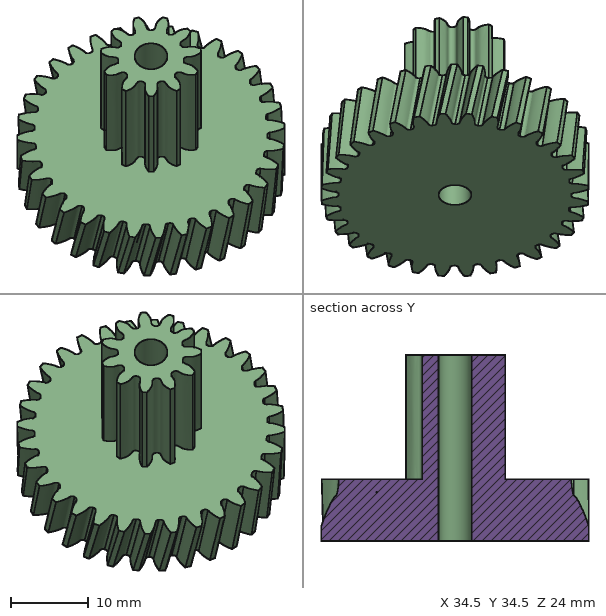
import cadquery as cq
import math

OUTER_DIAMETER = 34.5
TOTAL_HEIGHT = 24.0
WHEEL_HEIGHT = 8.0
BORE_DIAMETER = 4.2

WHEEL_TEETH = 32
PINION_TEETH = 11
PRESSURE_ANGLE = math.radians(20)
HELIX_ANGLE = math.radians(10)
DEDENDUM_FACTOR = 1.25
FLANK_STEPS = 5

MODULE = OUTER_DIAMETER / (WHEEL_TEETH / math.cos(HELIX_ANGLE) + 2)

WHEEL_PITCH_RADIUS = OUTER_DIAMETER / 2 - MODULE
WHEEL_PRESSURE_ANGLE = math.atan(math.tan(PRESSURE_ANGLE) / math.cos(HELIX_ANGLE))
WHEEL_TWIST = math.degrees(WHEEL_HEIGHT * math.tan(HELIX_ANGLE) / WHEEL_PITCH_RADIUS)
WHEEL_FLANK_START_RADIUS = 15.3
WHEEL_ROOT_LAND = 0.15

PINION_PITCH_RADIUS = PINION_TEETH * MODULE / 2
PINION_FLANK_START_RADIUS = PINION_PITCH_RADIUS * math.cos(PRESSURE_ANGLE)
PINION_ROOT_LAND = 0.1
UNDERCUT_RADIUS = 4.73
UNDERCUT_HALF_GAP = 0.55


def polar(radius, angle):
    return (radius * math.cos(angle), radius * math.sin(angle))


def involute(angle):
    return math.tan(angle) - angle


def involute_flank(teeth, pitch_radius, start_radius, pressure_angle):
    """Pairs of radius and half tooth angle along one flank, from the start up to the tip."""
    base_radius = pitch_radius * math.cos(pressure_angle)
    base_half_angle = math.pi / (2 * teeth) + involute(pressure_angle)
    tip_radius = pitch_radius + MODULE
    flank = []
    for step in range(FLANK_STEPS + 1):
        radius = start_radius + (tip_radius - start_radius) * (step / FLANK_STEPS) ** 2
        half_angle = base_half_angle - involute(math.acos(base_radius / radius))
        flank.append((radius, half_angle))
    return flank


def gear_outline(teeth, pitch_radius, flank, root_land):
    """Closed gear profile with one tooth centred on +X.

    Two fillets tangent to the root circle join neighbouring flanks to a narrow root land.
    """
    pitch = 2 * math.pi / teeth
    tip_radius = pitch_radius + MODULE
    root_radius = pitch_radius - DEDENDUM_FACTOR * MODULE

    foot_radius, foot_half_angle = flank[0]
    foot_gap_angle = pitch / 2 - foot_half_angle
    land_half_angle = root_land / 2 / root_radius
    fillet_angle = foot_gap_angle - land_half_angle
    fillet_width = foot_radius * math.sin(fillet_angle)
    fillet_height = foot_radius * math.cos(fillet_angle) - root_radius
    fillet_radius = (fillet_width ** 2 + fillet_height ** 2) / (2 * fillet_height)

    outline = cq.Workplane("XY").moveTo(*polar(foot_radius, -foot_half_angle))
    for tooth in range(teeth):
        centre = tooth * pitch
        gap = centre + pitch / 2
        rising = [polar(radius, centre - half_angle) for radius, half_angle in flank]
        falling = [polar(radius, centre + half_angle) for radius, half_angle in reversed(flank)]
        land_start = polar(root_radius, gap - land_half_angle)
        land_middle = polar(root_radius, gap)
        land_end = polar(root_radius, gap + land_half_angle)
        next_foot = polar(foot_radius, gap + foot_gap_angle)

        outline = outline.spline(rising[1:], includeCurrent=True)
        outline = outline.threePointArc(polar(tip_radius, centre), falling[0])
        outline = outline.spline(falling[1:], includeCurrent=True)
        outline = outline.radiusArc(land_start, fillet_radius)
        outline = outline.threePointArc(land_middle, land_end)
        outline = outline.radiusArc(next_foot, fillet_radius)
    return outline.close()


def helical_wheel():
    flank = involute_flank(WHEEL_TEETH, WHEEL_PITCH_RADIUS, WHEEL_FLANK_START_RADIUS, WHEEL_PRESSURE_ANGLE)
    outline = gear_outline(WHEEL_TEETH, WHEEL_PITCH_RADIUS, flank, WHEEL_ROOT_LAND)
    return outline.twistExtrude(WHEEL_HEIGHT, WHEEL_TWIST)


def straight_pinion():
    flank = involute_flank(PINION_TEETH, PINION_PITCH_RADIUS, PINION_FLANK_START_RADIUS, PRESSURE_ANGLE)
    undercut_half_angle = math.pi / PINION_TEETH - math.asin(UNDERCUT_HALF_GAP / UNDERCUT_RADIUS)
    undercut_flank = [(UNDERCUT_RADIUS, undercut_half_angle)] + flank
    outline = gear_outline(PINION_TEETH, PINION_PITCH_RADIUS, undercut_flank, PINION_ROOT_LAND)
    height = TOTAL_HEIGHT - WHEEL_HEIGHT
    return outline.extrude(height).translate((0, 0, WHEEL_HEIGHT))


def through_bore():
    return cq.Workplane("XY").circle(BORE_DIAMETER / 2).extrude(TOTAL_HEIGHT)


result = helical_wheel().union(straight_pinion()).cut(through_bore())